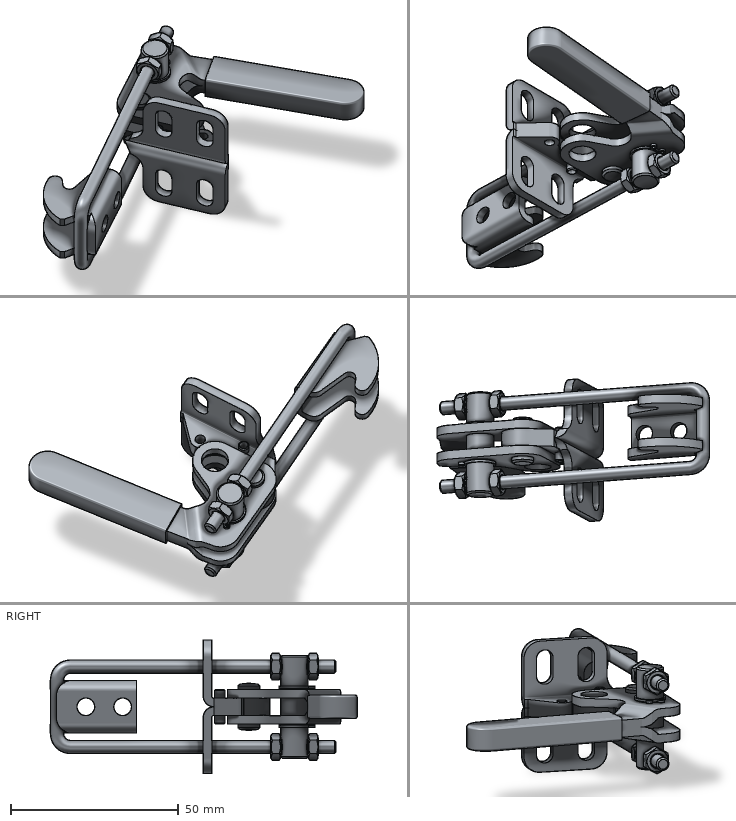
import cadquery as cq
import math


sheet = 2.6
pivot = (0.0, 0.0)
trunnion_at = (0.0, 13.6)
lever_top = 2 * sheet
edge_slack = 1.0

boss_radius = 6.3
boss_flank_angle = 30
ear_at = (21.7, -5.25)
ear_radius = 3.0
ear_hole_diameter = 3.0
ear_flank_angle = 43.3
flange_length = 26.0
flange_height = 40.0
flange_center_x = 18.7
flange_front_y = -13.65
flange_corner = 5.0
base_bend_inside = 0.6
neck_fillet = 5.0
slot_spacing = 13.0
slot_center_z = 12.0
slot_length = 10.4
slot_width = 5.2
rivet_radius = 2.5
rivet_head_radius = 3.3
rivet_head_height = 1.6
rivet_dome = 0.3
rivet_edge = 0.6
stop_pin_at = (8.65, -8.7)
stop_pin_radius = 1.6
stop_pin_bore_radius = 1.25
stop_pin_chamfer = 0.4

lever_left_x = -6.85
lever_bottom_y = -6.4
lever_top_y = 26.75
lever_low_corner = 6.5
lever_high_corner = 6.0
eye_at = (13.3, 0.28)
eye_radius = lever_low_corner + 0.15
eye_hole_diameter = 8.0
base_clearance_radius = 7.0
joggle_crest = (3.65, 27.5)
joggle_foot = (6.7, 27.1)
joggle_angle = 42.0
joggle_direction = -53.4
joggle_start = (1.4, 26.9)
joggle_outer_radius = 3.0
joggle_inner_radius = 1.05

handle_angle = 5.0
grip_start = (14.0, 23.1)
grip_width = 11.3
grip_height = 7.1
grip_straight = 41.8
grip_wall = 0.9
grip_edge = 0.8
notch_along = -2.1
notch_radius = 4.75

trunnion_radius = 4.1
trunnion_length = 30.8
trunnion_chamfer = 0.5
ring_radius = 4.65
ring_bottom = 5.45
ring_thickness = 0.75
lug_offset = (1.85, 5.2)
lug_radius = 1.0
lug_hole_radius = 0.5

bolt_tilt = 1.0
bolt_radius = 2.0
bolt_half_span = 12.0
bolt_bend_radius = 4.0
bolt_tail = 12.4
bolt_reach = 70.9
bolt_chamfer = 0.5
nut_across_flats = 7.0
nut_height = 3.0
nut_chamfer_depth = 0.75
nut_chamfer_rise = 0.5
nut_countersink = 0.3
nut_collar_radius = 2.5
nut_collar_height = 0.4

hook_back_x = 5.85
hook_height = 15.8
hook_top_y = -33.55
hook_end_y = -57.5
hook_bend_inside = 0.7
hook_hole_diameter = 5.2
hook_hole_y = (-37.7, -48.7)
hook_end_corner = 4.7
hook_seat_at = (-7.0, -44.0)
hook_seat_radius = 1.95
hook_throat_angle = -18.0
hook_tip_at = (-11.6, -43.85)
hook_tip_radius = 2.2
hook_belly_at = (0.95, -45.6)
hook_belly_radius = 14.8
hook_toe = (-4.6, -59.34)
hook_toe_end = (-3.4, -58.9)
hook_toe_flank = (0.05, -55.05)
hook_shoulder = (-2.35, -36.35)
hook_shoulder_mid = (-1.35, -34.5)
hook_shoulder_end = (1.0, hook_top_y)


def on_circle(center, radius, angle):
    """Point of a circle in the XY plane at an angle in degrees."""
    a = math.radians(angle)
    return (center[0] + radius * math.cos(a), center[1] + radius * math.sin(a))


def crossing_tangent(first, first_radius, second, second_radius, side):
    """Touch points of the line that passes between two circles, on the chosen side of the first."""
    dx, dy = second[0] - first[0], second[1] - first[1]
    spread = math.degrees(math.acos((first_radius + second_radius) / math.hypot(dx, dy)))
    angle = math.degrees(math.atan2(dy, dx)) + side * spread
    return on_circle(first, first_radius, angle), on_circle(second, second_radius, angle + 180)


def disc(center, radius, bottom, top):
    """Upright cylinder between two heights."""
    return cq.Workplane("XY").workplane(offset=bottom).center(*center).circle(radius).extrude(top - bottom)


def handle_point(along, across):
    """Point given in the handle's own directions, from the middle of the grip's open end."""
    a = math.radians(handle_angle)
    x = grip_start[0] + along * math.cos(a) - across * math.sin(a)
    y = grip_start[1] + along * math.sin(a) + across * math.cos(a)
    return (x, y)


def tongue(start, half_width, half_thickness):
    """Round-ended bar along the handle."""
    return (
        cq.Workplane("XY")
        .workplane(offset=-half_thickness)
        .polyline([
            handle_point(start, half_width),
            handle_point(start, -half_width),
            handle_point(grip_straight, -half_width),
        ])
        .threePointArc(
            handle_point(grip_straight + half_width, 0),
            handle_point(grip_straight, half_width),
        )
        .close()
        .extrude(2 * half_thickness)
    )


flange_left_x = flange_center_x - flange_length / 2
flange_right_x = flange_center_x + flange_length / 2
base_bend_outside = base_bend_inside + sheet
base_bend_y = flange_front_y + base_bend_outside
boss_touch = on_circle(pivot, boss_radius, 180 + boss_flank_angle)
flank_slope = math.tan(math.radians(boss_flank_angle))
web_left_x = boss_touch[0] + (boss_touch[1] - base_bend_y) * flank_slope
ear_touch = on_circle(ear_at, ear_radius, ear_flank_angle)
web_right_x = ear_touch[0] + (ear_touch[1] - base_bend_y) * math.tan(math.radians(ear_flank_angle))


def base_web():
    """Flat part of the upper sheet: pivot boss, ear and the edge running into the bend."""
    web = (
        cq.Workplane("XY")
        .polyline([
            pivot,
            boss_touch,
            (web_left_x, base_bend_y),
            (web_right_x, base_bend_y),
            ear_touch,
            ear_at,
        ])
        .close()
        .extrude(sheet)
        .union(disc(pivot, boss_radius, 0, sheet))
        .union(disc(ear_at, ear_radius, 0, sheet))
    )
    web = web.cut(disc(eye_at, base_clearance_radius, -edge_slack, sheet + edge_slack))
    return web.cut(disc(ear_at, ear_hole_diameter / 2, -edge_slack, sheet + edge_slack))


def bend_edge(angle):
    """X and Z of the sheet's left edge part way round the bend, where the web's flank runs on."""
    a = math.radians(angle)
    return (web_left_x + flank_slope * base_bend_outside * a, base_bend_outside * (1 - math.cos(a)))


def base_flange():
    """Bend and upright flange of the upper sheet, trimmed to the flange outline."""
    flange_back_y = flange_front_y + sheet
    diagonal = math.sqrt(0.5)
    bend_z = base_bend_outside
    strip = (
        cq.Workplane("YZ", origin=(web_left_x, 0, 0))
        .moveTo(base_bend_y, 0)
        .threePointArc(
            (base_bend_y - base_bend_outside * diagonal, bend_z - base_bend_outside * diagonal),
            (flange_front_y, bend_z),
        )
        .lineTo(flange_front_y, flange_height / 2)
        .lineTo(flange_back_y, flange_height / 2)
        .lineTo(flange_back_y, bend_z)
        .threePointArc(
            (base_bend_y - base_bend_inside * diagonal, bend_z - base_bend_inside * diagonal),
            (base_bend_y, sheet),
        )
        .close()
        .extrude(flange_right_x - web_left_x)
    )
    neck_x, neck_z = bend_edge(90)
    fillet_x = flange_left_x - neck_fillet
    fillet_start = -math.degrees(math.acos((neck_x - fillet_x) / neck_fillet))
    fillet_z = neck_z - neck_fillet * math.sin(math.radians(fillet_start))
    fillet_mid = on_circle((fillet_x, fillet_z), neck_fillet, fillet_start / 2)
    outline = (
        cq.Workplane("XZ", origin=(0, base_bend_y + edge_slack, 0))
        .moveTo(web_left_x, 0)
        .threePointArc(bend_edge(45), bend_edge(90))
        .threePointArc(fillet_mid, (flange_left_x, fillet_z))
        .lineTo(flange_left_x, flange_height / 2)
        .lineTo(flange_right_x, flange_height / 2)
        .lineTo(flange_right_x, 0)
        .close()
        .extrude(base_bend_outside + 2 * edge_slack)
        .edges("|Y and >Z")
        .fillet(flange_corner)
    )
    slots = (
        cq.Workplane("XZ", origin=(flange_center_x, base_bend_y, slot_center_z))
        .pushPoints([(-slot_spacing / 2, 0), (slot_spacing / 2, 0)])
        .slot2D(slot_length, slot_width, 90)
        .extrude(base_bend_outside + edge_slack)
    )
    return strip.intersect(outline).cut(slots)


def rivet():
    """Pivot post with a domed, rounded head on each end."""
    rim_z = lever_top + rivet_head_height
    half = (
        cq.Workplane("XZ")
        .lineTo(rivet_radius, 0)
        .lineTo(rivet_radius, lever_top)
        .lineTo(rivet_head_radius, lever_top)
        .lineTo(rivet_head_radius, rim_z - rivet_edge)
        .lineTo(rivet_head_radius - rivet_edge, rim_z)
        .lineTo(0, rim_z + rivet_dome)
        .close()
        .revolve(360, (0, 0, 0), (0, 1, 0))
    )
    return half.union(half.mirror("XY"))


def make_base():
    sheet_half = base_web().union(base_flange())
    stop_pin = disc(stop_pin_at, stop_pin_radius, -lever_top, lever_top).faces("|Z").chamfer(stop_pin_chamfer)
    bore = disc(stop_pin_at, stop_pin_bore_radius, -lever_top - edge_slack, lever_top + edge_slack)
    solid = sheet_half.union(sheet_half.mirror("XY"))
    return solid.union(rivet()).union(stop_pin).cut(bore)


neck_half_width = grip_width / 2 - grip_wall
lever_reach = 80.0


def lever_outline():
    notch_at = handle_point(notch_along, -neck_half_width - notch_radius)
    eye_touch, notch_touch = crossing_tangent(eye_at, eye_radius, notch_at, notch_radius, -1)
    low_center = (lever_left_x + lever_low_corner, lever_bottom_y + lever_low_corner)
    high_center = (lever_left_x + lever_high_corner, lever_top_y - lever_high_corner)
    return (
        cq.Workplane("XY")
        .workplane(offset=-lever_top)
        .moveTo(lever_left_x, low_center[1])
        .lineTo(lever_left_x, high_center[1])
        .threePointArc(on_circle(high_center, lever_high_corner, 135), (high_center[0], lever_top_y))
        .lineTo(*joggle_crest)
        .lineTo(*joggle_foot)
        .lineTo(*handle_point(0, neck_half_width))
        .lineTo(*handle_point(grip_straight, neck_half_width))
        .threePointArc(
            handle_point(grip_straight + neck_half_width, 0),
            handle_point(grip_straight, -neck_half_width),
        )
        .lineTo(*handle_point(notch_along, -neck_half_width))
        .threePointArc(on_circle(notch_at, notch_radius, 180), notch_touch)
        .lineTo(*eye_touch)
        .threePointArc(on_circle(eye_at, eye_radius, -15), on_circle(eye_at, eye_radius, -90))
        .lineTo(low_center[0], lever_bottom_y)
        .threePointArc(on_circle(low_center, lever_low_corner, 225), (lever_left_x, low_center[1]))
        .close()
        .extrude(2 * lever_top)
    )


def joggled_sheet():
    """Upper sheet stepping down from the cheek to the mid plane, swept along the bend lines."""
    a = math.radians(joggle_angle)
    total_radius = joggle_outer_radius + joggle_inner_radius
    slope_run = (sheet - total_radius * (1 - math.cos(a))) / math.tan(a)
    foot = total_radius * math.sin(a) + slope_run

    crest_center = (0, lever_top - joggle_outer_radius)
    foot_center = (foot, sheet + joggle_inner_radius)
    crest_inside = joggle_outer_radius - sheet
    foot_outside = joggle_inner_radius + sheet
    crest_end, crest_mid = 90 - joggle_angle, 90 - joggle_angle / 2
    foot_end, foot_mid = 270 - joggle_angle, 270 - joggle_angle / 2

    sideways = math.radians(joggle_direction + 90)
    section = cq.Plane(
        origin=(joggle_start[0], joggle_start[1], 0),
        xDir=(math.cos(sideways), math.sin(sideways), 0),
        normal=(math.sin(sideways), -math.cos(sideways), 0),
    )
    return (
        cq.Workplane(section)
        .moveTo(-lever_reach, lever_top)
        .lineTo(0, lever_top)
        .threePointArc(
            on_circle(crest_center, joggle_outer_radius, crest_mid),
            on_circle(crest_center, joggle_outer_radius, crest_end),
        )
        .lineTo(*on_circle(foot_center, joggle_inner_radius, foot_end))
        .threePointArc(on_circle(foot_center, joggle_inner_radius, foot_mid), (foot, sheet))
        .lineTo(lever_reach, sheet)
        .lineTo(lever_reach, 0)
        .lineTo(foot, 0)
        .threePointArc(
            on_circle(foot_center, foot_outside, foot_mid),
            on_circle(foot_center, foot_outside, foot_end),
        )
        .lineTo(*on_circle(crest_center, crest_inside, crest_end))
        .threePointArc(on_circle(crest_center, crest_inside, crest_mid), (0, sheet))
        .lineTo(-lever_reach, sheet)
        .close()
        .extrude(lever_reach, both=True)
    )


def make_lever():
    cheek = joggled_sheet().intersect(lever_outline())
    lever = cheek.union(cheek.mirror("XY"))
    holes = [(eye_at, eye_hole_diameter / 2), (trunnion_at, trunnion_radius), (pivot, rivet_radius)]
    for center, radius in holes:
        lever = lever.cut(disc(center, radius, -lever_top - edge_slack, lever_top + edge_slack))
    return lever


def make_grip():
    across = cq.Vector(*handle_point(0, 1)) - cq.Vector(*handle_point(0, 0))
    long_edges = cq.selectors.SubtractSelector(cq.Selector(), cq.selectors.ParallelDirSelector(across))
    sleeve = tongue(0, grip_width / 2, grip_height / 2).faces("|Z").edges(long_edges).fillet(grip_edge)
    return sleeve.cut(tongue(-edge_slack, neck_half_width, sheet))


def tilt_into_place(body):
    """Move a body from rods along Y, with the trunnion axis at the origin, to its tilted place."""
    return body.rotate((0, 0, 0), (0, 0, 1), bolt_tilt).translate((trunnion_at[0], trunnion_at[1], 0))


def make_u_bolt():
    corner_z = bolt_half_span - bolt_bend_radius
    corner_y = -bolt_reach + bolt_bend_radius
    diagonal = bolt_bend_radius * math.sqrt(0.5)
    path = (
        cq.Workplane("YZ")
        .moveTo(bolt_tail, bolt_half_span)
        .lineTo(corner_y, bolt_half_span)
        .threePointArc((corner_y - diagonal, corner_z + diagonal), (-bolt_reach, corner_z))
        .lineTo(-bolt_reach, -corner_z)
        .threePointArc((corner_y - diagonal, -corner_z - diagonal), (corner_y, -bolt_half_span))
        .lineTo(bolt_tail, -bolt_half_span)
    )
    rod = cq.Workplane("XZ", origin=(0, bolt_tail, bolt_half_span)).circle(bolt_radius).sweep(path)
    return tilt_into_place(rod.faces(">Y").chamfer(bolt_chamfer))


def nut_collar():
    """Raised seat of a nut lying along +Y, as far as it enters the trunnion."""
    start = trunnion_radius - nut_collar_height
    return (
        cq.Workplane("XZ", origin=(0, start, 0))
        .circle(nut_collar_radius)
        .extrude(-nut_collar_height)
    )


def nut_blank():
    """Hexagon nut along +Y resting on the trunnion, corners towards +Z and -Z."""
    corner_diameter = nut_across_flats / math.cos(math.radians(30))
    corner_radius = corner_diameter / 2
    hexagon = (
        cq.Workplane("XZ", origin=(0, trunnion_radius, 0))
        .transformed(rotate=(0, 0, 90))
        .polygon(6, corner_diameter)
        .extrude(-nut_height)
    )
    turned = (
        cq.Workplane("XZ", origin=(0, trunnion_radius, 0))
        .circle(corner_radius)
        .extrude(-nut_height)
        .faces("|Y")
        .chamfer(nut_chamfer_rise, nut_chamfer_depth)
    )
    bore = cq.Workplane("XZ").circle(bolt_radius).extrude(-trunnion_radius - nut_height)
    nut = hexagon.intersect(turned).union(nut_collar()).cut(bore)
    return nut.faces(">Y").edges("%CIRCLE").edges(cq.selectors.RadiusNthSelector(0)).chamfer(nut_countersink)


def make_nuts():
    nuts = []
    for z in (-bolt_half_span, bolt_half_span):
        for turn in (0, 180):
            nut = nut_blank().rotate((0, 0, 0), (0, 0, 1), turn).translate((0, 0, z))
            nuts.append(tilt_into_place(nut))
    return nuts


def retaining_ring():
    ring_top = ring_bottom + ring_thickness
    ring = disc(trunnion_at, ring_radius, ring_bottom, ring_top)
    for side in (-1, 1):
        lug_at = (trunnion_at[0] + side * lug_offset[0], trunnion_at[1] + lug_offset[1])
        ring = ring.union(disc(lug_at, lug_radius, ring_bottom, ring_top))
        ring = ring.cut(disc(lug_at, lug_hole_radius, ring_bottom, ring_top))
    return ring


def make_trunnion():
    pin = disc(trunnion_at, trunnion_radius, -trunnion_length / 2, trunnion_length / 2)
    pin = pin.faces("|Z").chamfer(trunnion_chamfer)
    ring = retaining_ring()
    pin = pin.union(ring).union(ring.mirror("XY"))
    for z in (-bolt_half_span, bolt_half_span):
        bore = cq.Workplane("XZ", origin=(0, 0, z)).circle(bolt_radius)
        bore = bore.extrude(2 * trunnion_radius, both=True)
        pin = pin.cut(tilt_into_place(bore))
        for turn in (0, 180):
            seat = nut_collar().rotate((0, 0, 0), (0, 0, 1), turn).translate((0, 0, z))
            pin = pin.cut(tilt_into_place(seat))
    return pin


def hook_outline():
    """Side plate outline, filled between the two side plates."""
    tip_touch, seat_touch = crossing_tangent(hook_tip_at, hook_tip_radius, hook_seat_at, hook_seat_radius, 1)
    seat_end = on_circle(hook_seat_at, hook_seat_radius, hook_throat_angle)
    heel_y = hook_toe_flank[1]
    return (
        cq.Workplane("XY")
        .workplane(offset=-hook_height / 2)
        .moveTo(hook_back_x, hook_top_y)
        .lineTo(*hook_shoulder_end)
        .threePointArc(hook_shoulder_mid, hook_shoulder)
        .lineTo(*seat_end)
        .threePointArc(on_circle(hook_seat_at, hook_seat_radius, -90), seat_touch)
        .lineTo(*tip_touch)
        .threePointArc(
            on_circle(hook_tip_at, hook_tip_radius, 100),
            on_circle(hook_tip_at, hook_tip_radius, 180),
        )
        .threePointArc(on_circle(hook_belly_at, hook_belly_radius, 213), hook_toe)
        .lineTo(*hook_toe_end)
        .lineTo(*hook_toe_flank)
        .lineTo(hook_back_x - sheet, heel_y)
        .lineTo(hook_back_x - sheet, hook_end_y)
        .lineTo(hook_back_x, hook_end_y)
        .close()
        .extrude(hook_height)
    )


def hook_end_rounding():
    """Waste outside the rounded corners at the lower end of the back plate."""
    waste = cq.Workplane("XY").box(sheet, hook_end_corner, hook_height, centered=(False, False, True))
    kept = (
        cq.Workplane("XY")
        .box(sheet, 2 * hook_end_corner, hook_height, centered=(False, False, True))
        .edges("|X and <Y")
        .fillet(hook_end_corner)
    )
    return waste.cut(kept).translate((hook_back_x - sheet, hook_end_y, 0))


def make_hook():
    length = hook_top_y - hook_toe[1]
    depth = hook_back_x - hook_belly_at[0] + hook_belly_radius
    inner_height = hook_height - 2 * sheet
    body = hook_outline().faces(">X").edges("|Y").fillet(hook_bend_inside + sheet)
    inside = (
        cq.Workplane("XY")
        .box(depth, length + 2 * edge_slack, inner_height, centered=(True, True, True))
        .faces(">X")
        .edges("|Y")
        .fillet(hook_bend_inside)
        .translate((hook_back_x - sheet - depth / 2, hook_top_y - length / 2, 0))
    )
    holes = (
        cq.Workplane("YZ", origin=(hook_back_x - sheet - edge_slack, 0, 0))
        .pushPoints([(y, 0) for y in hook_hole_y])
        .circle(hook_hole_diameter / 2)
        .extrude(sheet + 2 * edge_slack)
    )
    return body.cut(inside).cut(holes).cut(hook_end_rounding())


bodies = [make_base(), make_lever(), make_grip(), make_u_bolt(), make_trunnion(), make_hook(), *make_nuts()]
result = cq.Compound.makeCompound([body.val() for body in bodies])